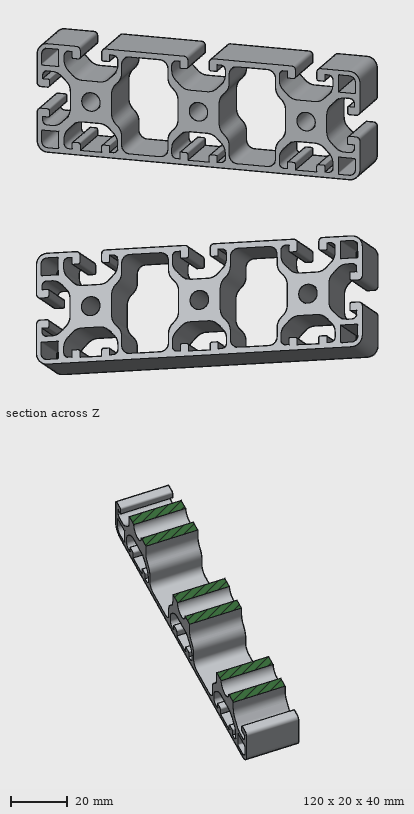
import cadquery as cq
import math

length = 120.0
cell_count = 3
cell = length / cell_count
depth = cell / 2
half_height = cell / 2
half_length = length / 2
outer_radius = 4.0

opening_half = 4.0
lip_half = 7.0
cavity_half = 10.0
core_half = 7.7

lip_depth = 4.5
undercut_depth = 2.0
closed_skin = 1.8

mouth_radius = 1.5
lip_tip_radius = 0.7
lip_inner_radius = 0.4
cavity_radius = 1.8
floor_radius = 4.8

mouth_margin = 0.1
mouth_overshoot = 1.2

slot_diagonal_offset = 2.4
chamber_diagonal_offset = 1.9

chamber_wall_half = 11.4
chamber_skin = 2.2
chamber_corner_radius = 3.0
chamber_bend_radius = 5.0

hollow_near = 1.7
hollow_far = 8.0
hollow_radius = 2.3
hollow_side_radius = 0.5

bore_diameter = 6.8


def rounded_outline(corners):
    """Closed XZ wire from (x, z, radius) corners; radius 0 leaves a sharp corner."""
    spans = []
    for i, (x, z, radius) in enumerate(corners):
        corner = cq.Vector(x, z)
        to_last = (cq.Vector(*corners[i - 1][:2]) - corner).normalized()
        to_next = (cq.Vector(*corners[(i + 1) % len(corners)][:2]) - corner).normalized()
        half_angle = to_last.getAngle(to_next) / 2
        setback = radius / math.tan(half_angle)
        bisector = (to_last + to_next).normalized()
        middle = corner + bisector * (radius / math.sin(half_angle) - radius)
        spans.append((corner + to_last * setback, middle, corner + to_next * setback, radius))

    start = spans[0][2]
    outline = cq.Workplane("XZ").moveTo(start.x, start.y)
    for first, middle, last, radius in spans[1:] + spans[:1]:
        outline = outline.lineTo(first.x, first.y)
        if radius > 0:
            outline = outline.threePointArc((middle.x, middle.y), (last.x, last.y))
    return outline.close()


def prism(corners):
    """Extrude an outline over the full depth of the part, centred on Y."""
    return rounded_outline(corners).extrude(depth / 2, both=True)


def mirrored(half):
    """Complete a half outline by reflecting it across x = 0."""
    return half + [(-x, z, radius) for x, z, radius in reversed(half)]


def slot(is_open):
    """Slot cavity of the upper face of a cell centred on the Y axis."""
    if is_open:
        mouth_edge = opening_half + mouth_radius + mouth_margin
        entry = [
            (mouth_edge, half_height + mouth_overshoot, 0),
            (mouth_edge, half_height, 0),
            (opening_half, half_height, mouth_radius),
        ]
    else:
        entry = [(opening_half, half_height - closed_skin, 0)]
    cavity = [
        (opening_half, half_height - lip_depth, lip_tip_radius),
        (lip_half, half_height - lip_depth, lip_inner_radius),
        (lip_half, half_height - undercut_depth, 0),
        (cavity_half, half_height - undercut_depth, cavity_radius),
        (cavity_half, cavity_half + slot_diagonal_offset, floor_radius),
        (core_half - slot_diagonal_offset, core_half, floor_radius),
    ]
    return prism(mirrored(entry + cavity))


def chamber():
    """Large hollow between two cells, centred on the Y axis."""
    wall_half = cell / 2 - chamber_wall_half
    belly_half = cell / 2 - core_half
    top = half_height - chamber_skin
    upper_right = [
        (wall_half, top, chamber_corner_radius),
        (wall_half, chamber_wall_half - chamber_diagonal_offset, chamber_bend_radius),
        (belly_half, core_half - chamber_diagonal_offset, chamber_bend_radius),
    ]
    right = upper_right + [(x, -z, radius) for x, z, radius in reversed(upper_right)]
    return prism(mirrored(right))


def corner_hollow():
    """Hollow in the upper right corner of the part."""
    right = half_length - hollow_near
    left = half_length - hollow_far
    top = half_height - hollow_near
    bottom = half_height - hollow_far
    return prism([
        (right, top, hollow_radius),
        (right, bottom, hollow_side_radius),
        (left, bottom, 0),
        (left, top, hollow_side_radius),
    ])


def turned(body, angle):
    """Rotate about the Y axis."""
    return body.rotate((0, 0, 0), (0, 1, 0), angle)


result = cq.Workplane("XY").box(length, depth, cell).edges("|Y").fillet(outer_radius)

cell_centres = [(i - (cell_count - 1) / 2) * cell for i in range(cell_count)]
bore = cq.Workplane("XZ").circle(bore_diameter / 2).extrude(depth / 2, both=True)
for centre in cell_centres:
    for cavity in (slot(is_open=True), turned(slot(is_open=False), 180), bore):
        result = result.cut(cavity.translate((centre, 0, 0)))

for centre, angle in ((cell_centres[0], -90), (cell_centres[-1], 90)):
    result = result.cut(turned(slot(is_open=True), angle).translate((centre, 0, 0)))

for centre in cell_centres[:-1]:
    result = result.cut(chamber().translate((centre + cell / 2, 0, 0)))

upper_hollows = corner_hollow().union(corner_hollow().mirror("YZ"))
result = result.cut(upper_hollows).cut(upper_hollows.mirror("XY"))